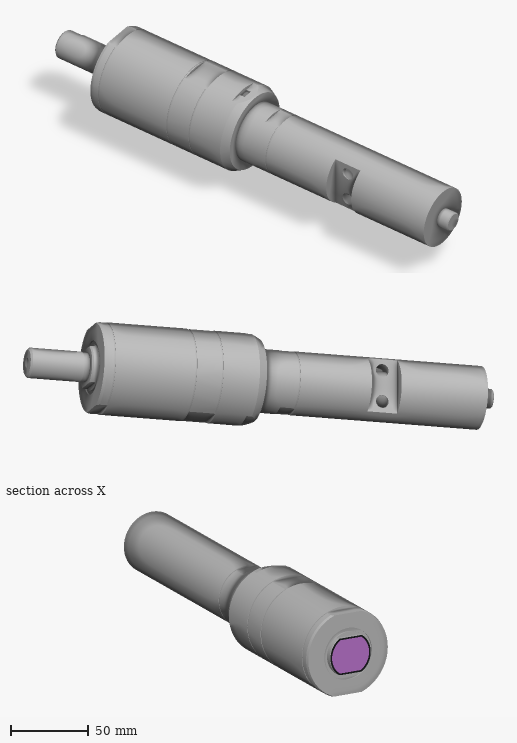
import cadquery as cq
import math

SHAFT_TIP = 0.0
SHAFT_END = 36.0
COLLAR_START = 39.8
HEAD_START = 43.5
FRONT_FLAT_END = 51.0
MID_FLAT_START = 106.0
MID_FLAT_END = 123.8
REAR_FLAT_START = 144.5
CONE_START = 148.3
HEAD_END = 154.0
BODY_FLAT_START = 168.5
BODY_FLAT_END = 178.7
BODY_END = 305.0
STUB_END = 313.5

SHAFT_DIAMETER = 19.8
NECK_DIAMETER = 18.8
COLLAR_DIAMETER = 30.0
HEAD_DIAMETER = 60.0
CONE_END_DIAMETER = 54.2
BODY_DIAMETER = 41.5
STUB_DIAMETER = 13.0

SHAFT_CHAMFER = 1.3
COLLAR_CHAMFER = 1.0
HEAD_CHAMFER_LENGTH = 2.0
HEAD_CHAMFER_DEPTH = 0.5
STUB_CHAMFER = 0.5

COLLAR_ACROSS_FLATS = 24.0
HEAD_ACROSS_FLATS = 55.2
BODY_ACROSS_FLATS = 38.0

JOINT_WIDTH = 1.0
JOINT_DEPTH = 0.3

RECESS_DIAMETER = 35.0
RECESS_DEPTH = 1.0

KEY_START = 5.3
KEY_LENGTH = 32.0
KEY_WIDTH = 6.0
KEY_TOP = 12.0

CENTRE_DIAMETER = 6.5
CENTRE_PILOT_DIAMETER = 1.55
CENTRE_PILOT_LENGTH = 2.5
CENTRE_CONE_ANGLE = 60

NOTCH_LENGTH = 3.8
NOTCH_WIDTH = 7.0
NOTCH_DEPTH = 1.5

SEAT_START = 226.7
SEAT_LENGTH = 20.0
SEAT_Y = -10.7
PORT_DIAMETER = 8.5
PORT_SPACING = 20.7
CORE_DIAMETER = 24.0


def turned_blank():
    """Revolve the stepped outline about the X axis."""
    shaft_r = SHAFT_DIAMETER / 2
    collar_r = COLLAR_DIAMETER / 2
    head_r = HEAD_DIAMETER / 2
    stub_r = STUB_DIAMETER / 2
    outline = [
        (SHAFT_TIP, 0),
        (SHAFT_TIP, shaft_r - SHAFT_CHAMFER),
        (SHAFT_TIP + SHAFT_CHAMFER, shaft_r),
        (SHAFT_END, shaft_r),
        (SHAFT_END, NECK_DIAMETER / 2),
        (COLLAR_START, NECK_DIAMETER / 2),
        (COLLAR_START, collar_r - COLLAR_CHAMFER),
        (COLLAR_START + COLLAR_CHAMFER, collar_r),
        (HEAD_START + RECESS_DEPTH, collar_r),
        (HEAD_START + RECESS_DEPTH, RECESS_DIAMETER / 2),
        (HEAD_START, RECESS_DIAMETER / 2),
        (HEAD_START, head_r - HEAD_CHAMFER_DEPTH),
        (HEAD_START + HEAD_CHAMFER_LENGTH, head_r),
        (CONE_START, head_r),
        (HEAD_END, CONE_END_DIAMETER / 2),
        (HEAD_END, BODY_DIAMETER / 2),
        (BODY_END, BODY_DIAMETER / 2),
        (BODY_END, stub_r),
        (STUB_END - STUB_CHAMFER, stub_r),
        (STUB_END, stub_r - STUB_CHAMFER),
        (STUB_END, 0),
    ]
    return cq.Workplane("XY").polyline(outline).close().revolve(360, (0, 0, 0), (1, 0, 0))


def flat_pair(start, end, across, diameter):
    """Material outside two flats normal to Z, between two stations."""
    length = end - start
    bar = cq.Workplane("XY", origin=(start + length / 2, 0, 0)).box(length, diameter, 2 * diameter)
    web = cq.Workplane("XY", origin=(start + length / 2, 0, 0)).box(length, diameter, across)
    return bar.cut(web)


def joint_groove(end, diameter):
    """Shallow ring groove that finishes at the given station."""
    return (
        cq.Workplane("YZ", origin=(end - JOINT_WIDTH, 0, 0))
        .circle(diameter / 2)
        .circle(diameter / 2 - JOINT_DEPTH)
        .extrude(JOINT_WIDTH)
    )


def shaft_key():
    """Round-ended key standing out of the shaft towards +Y."""
    return (
        cq.Workplane("XZ")
        .center(KEY_START + KEY_LENGTH / 2, 0)
        .slot2D(KEY_LENGTH, KEY_WIDTH)
        .extrude(-KEY_TOP)
    )


def centre_drilling():
    """Conical countersink with a short pilot hole."""
    cone_r = CENTRE_DIAMETER / 2
    pilot_r = CENTRE_PILOT_DIAMETER / 2
    cone_length = (cone_r - pilot_r) / math.tan(math.radians(CENTRE_CONE_ANGLE / 2))
    pilot_start = SHAFT_TIP + cone_length
    pilot_end = pilot_start + CENTRE_PILOT_LENGTH
    profile = [
        (SHAFT_TIP, 0),
        (SHAFT_TIP, cone_r),
        (pilot_start, pilot_r),
        (pilot_end, pilot_r),
        (pilot_end, 0),
    ]
    return cq.Workplane("XY").polyline(profile).close().revolve(360, (0, 0, 0), (1, 0, 0))


def rear_notch():
    """Small rectangular notch sunk into the upper rear flat."""
    return (
        cq.Workplane("XY", origin=(REAR_FLAT_START, 0, HEAD_ACROSS_FLATS / 2))
        .rect(NOTCH_LENGTH, NOTCH_WIDTH, centered=(False, True))
        .extrude(-NOTCH_DEPTH)
    )


def port_seat():
    """Flat seat and two ports that end on a cylindrical core around the X axis."""
    centre_x = SEAT_START + SEAT_LENGTH / 2
    seat = (
        cq.Workplane("XZ", origin=(centre_x, SEAT_Y, 0))
        .rect(SEAT_LENGTH, BODY_DIAMETER)
        .extrude(BODY_DIAMETER)
    )
    ports = (
        cq.Workplane("XZ", origin=(centre_x, 0, 0))
        .pushPoints([(0, PORT_SPACING / 2), (0, -PORT_SPACING / 2)])
        .circle(PORT_DIAMETER / 2)
        .extrude(-SEAT_Y)
    )
    core = (
        cq.Workplane("YZ", origin=(SEAT_START, 0, 0))
        .circle(CORE_DIAMETER / 2)
        .extrude(SEAT_LENGTH)
    )
    return seat.union(ports.cut(core))


result = turned_blank()

flats = [
    (COLLAR_START, HEAD_START, COLLAR_ACROSS_FLATS, COLLAR_DIAMETER),
    (HEAD_START, FRONT_FLAT_END, HEAD_ACROSS_FLATS, HEAD_DIAMETER),
    (MID_FLAT_START, MID_FLAT_END, HEAD_ACROSS_FLATS, HEAD_DIAMETER),
    (REAR_FLAT_START, HEAD_END, HEAD_ACROSS_FLATS, HEAD_DIAMETER),
    (BODY_FLAT_START, BODY_FLAT_END, BODY_ACROSS_FLATS, BODY_DIAMETER),
]
for start, end, across, diameter in flats:
    result = result.cut(flat_pair(start, end, across, diameter))

joints = [
    (FRONT_FLAT_END, HEAD_DIAMETER),
    (MID_FLAT_START, HEAD_DIAMETER),
    (MID_FLAT_END, HEAD_DIAMETER),
    (BODY_FLAT_END, BODY_DIAMETER),
]
for end, diameter in joints:
    result = result.cut(joint_groove(end, diameter))

result = result.union(shaft_key())
for cutter in (centre_drilling(), rear_notch(), port_seat()):
    result = result.cut(cutter)